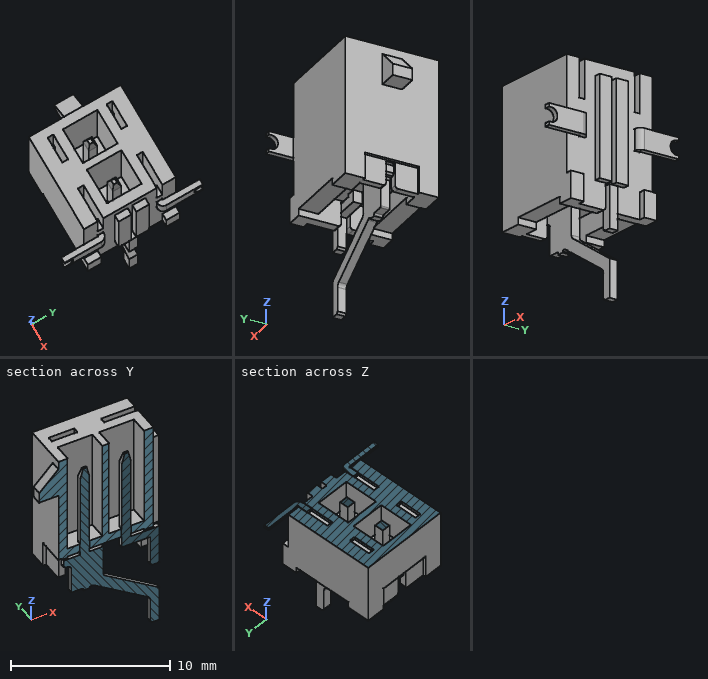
import cadquery as cq
import math


OVERALL_HEIGHT = 15.9

HOUSING_LENGTH = 6.9
HOUSING_WIDTH = 6.7
HOUSING_HEIGHT = 9.89

FOOT_REACH = 0.48
FOOT_HEIGHT = 1.86
FOOT_INNER_Y = 2.35
FOOT_END_X = HOUSING_LENGTH + FOOT_REACH

UNDERCUT_START_X = 1.73
UNDERCUT_END_X = 6.19
UNDERCUT_HEIGHT = 0.48

POCKET_WIDTH = 3.88
WALL_RECESS = 0.22
POCKET_START_X = 0.7

LATCH_REACH = 1.38
LATCH_WIDTH = 1.4
LATCH_BOTTOM_Z = 7.09
LATCH_LIP = 0.81

RIB_TOP_Z = 8.9
RIB_SPAN = 2.23
RIB_GAP = 0.35

CAVITY_SIZE = 2.51
CAVITY_FLOOR_Z = 2.55
FIRST_TERMINAL_X = 1.92
TERMINAL_PITCH = 3.0

TERMINAL_THICKNESS = 0.64
TERMINAL_WIDTH = 0.68
TERMINAL_TIP_Z = 8.59
TIP_TAPER_HEIGHT = 0.76
TIP_INSET = 0.19
BASE_TOP_Z = 1.67
SLOT_TOP_Z = 1.76
SLOT_MOUTH_RADIUS = 0.22

TAIL_END_X = 7.33
TAIL_START_X = TAIL_END_X - TERMINAL_WIDTH
TAIL_CHAMFER = 0.15

BARB_X = 0.38
BARB_BOTTOM_Z = 1.15
BARB_CHAMFER = 0.15
BASE_START_X = 0.9
BASE_END_X = 3.26
BASE_BOTTOM_Z = -1.2
BASE_CORNER_RADIUS = 0.1
BUMP_START_X = 1.83
BUMP_END_X = 2.3
BUMP_BOTTOM_Z = -1.38
HOLLOW_Z = -1.29
HOLLOW_PEAK_RISE = 0.06
ARM_ANGLE = 33.3
ARM_TOP_END_Z = -3.35
ARM_THICKNESS = 0.86
ARM_BEND_RADIUS = 0.35
FRONT_TAIL_BOTTOM_Z = HOUSING_HEIGHT - OVERALL_HEIGHT

REAR_ARM_HEIGHT = 0.67
REAR_TAIL_BOTTOM_Z = -1.34

CLIP_THICKNESS = 0.41
CLIP_INNER_Y = 1.94
CLIP_SPAN = 10.1
CLIP_OUTER_Y = CLIP_SPAN / 2
CLIP_LEG_START_X = 6.19
CLIP_BOTTOM_Z = 4.55
CLIP_HEIGHT = 1.48
CLIP_Z = (CLIP_BOTTOM_Z, CLIP_BOTTOM_Z + CLIP_HEIGHT)
CLIP_NOTCH_RADIUS = 0.5
CLIP_NOTCH_DEPTH = 0.65

SIDE_SLOT_START_X = 0.65
SIDE_SLOT_END_X = 2.5
SIDE_SLOT_LEDGE = 0.22
CLIP_SLOT_START_X = 4.44
SLOT_LEDGE_Z = 7.15

TERMINAL_XS = [FIRST_TERMINAL_X, FIRST_TERMINAL_X + TERMINAL_PITCH]
SIDES = [-1, 1]


def block(x_range, y_range, z_range):
    """Box between the given limits along each axis."""
    size = [high - low for low, high in (x_range, y_range, z_range)]
    corner = (x_range[0], y_range[0], z_range[0])
    return cq.Workplane("XY").box(*size, centered=False).translate(corner)


def centred(width):
    """Limits of a width centred on the mid-plane."""
    return (-width / 2, width / 2)


def on_side(side, inner, outer):
    """Limits of a band from inner to outer distance on one side of the mid-plane."""
    return tuple(sorted((side * inner, side * outer)))


def stem_limits(x):
    """Limits along X of a terminal stem centred at x."""
    return (x - TERMINAL_WIDTH / 2, x + TERMINAL_WIDTH / 2)


def latch():
    outline = [
        (0, LATCH_BOTTOM_Z),
        (-LATCH_REACH, LATCH_BOTTOM_Z),
        (-LATCH_REACH, LATCH_BOTTOM_Z + LATCH_LIP),
        (0, LATCH_BOTTOM_Z + LATCH_LIP + LATCH_REACH),
    ]
    return cq.Workplane("XZ").polyline(outline).close().extrude(LATCH_WIDTH / 2, both=True)


def terminal_slot():
    """Slot through both end walls, with its mouth rounded outwards at the underside."""
    half = TERMINAL_THICKNESS / 2
    radius = SLOT_MOUTH_RADIUS
    rise = radius * math.sin(math.radians(45))
    outline = cq.Workplane("YZ").moveTo(-half, SLOT_TOP_Z).lineTo(half, SLOT_TOP_Z).lineTo(half, radius)
    outline = outline.threePointArc((half + radius - rise, radius - rise), (half + radius, 0))
    outline = outline.lineTo(-half - radius, 0)
    outline = outline.threePointArc((-half - radius + rise, radius - rise), (-half, radius))
    return outline.close().extrude(HOUSING_LENGTH)


def housing_outside():
    body = block((0, HOUSING_LENGTH), centred(HOUSING_WIDTH), (0, HOUSING_HEIGHT))
    body = body.union(latch())
    rib_x = (HOUSING_LENGTH, FOOT_END_X)
    for side in SIDES:
        foot_y = on_side(side, FOOT_INNER_Y, HOUSING_WIDTH / 2)
        body = body.union(block(rib_x, foot_y, (0, FOOT_HEIGHT)))
        rib_y = on_side(side, RIB_GAP / 2, RIB_SPAN / 2)
        body = body.union(block(rib_x, rib_y, (FOOT_HEIGHT, RIB_TOP_Z)))
    return body


def cut_underside(body):
    pocket_y = centred(POCKET_WIDTH)
    body = body.cut(block((UNDERCUT_START_X, UNDERCUT_END_X), centred(HOUSING_WIDTH), (0, UNDERCUT_HEIGHT)))
    body = body.cut(block((0, WALL_RECESS), pocket_y, (0, FOOT_HEIGHT)))
    body = body.cut(block((POCKET_START_X, UNDERCUT_END_X), pocket_y, (0, FOOT_HEIGHT)))
    return body.cut(terminal_slot())


def cut_cavities(body):
    for x in TERMINAL_XS:
        cavity_x = (x - CAVITY_SIZE / 2, x + CAVITY_SIZE / 2)
        body = body.cut(block(cavity_x, centred(CAVITY_SIZE), (CAVITY_FLOOR_Z, HOUSING_HEIGHT)))
        body = body.cut(block(stem_limits(x), centred(TERMINAL_THICKNESS), (0, CAVITY_FLOOR_Z)))
    return body


def cut_side_slots(body):
    ledge_end_x = SIDE_SLOT_START_X + SIDE_SLOT_LEDGE
    deep_z = (CLIP_BOTTOM_Z, HOUSING_HEIGHT)
    ledge_z = (SLOT_LEDGE_Z, HOUSING_HEIGHT)
    for side in SIDES:
        slot_y = on_side(side, CLIP_INNER_Y, CLIP_INNER_Y + CLIP_THICKNESS)
        body = body.cut(block((ledge_end_x, SIDE_SLOT_END_X), slot_y, deep_z))
        body = body.cut(block((SIDE_SLOT_START_X, ledge_end_x), slot_y, ledge_z))
        body = body.cut(block((CLIP_SLOT_START_X, CLIP_LEG_START_X), slot_y, deep_z))
        body = body.cut(block((CLIP_LEG_START_X, HOUSING_LENGTH), slot_y, ledge_z))
        body = body.cut(block((CLIP_LEG_START_X, HOUSING_LENGTH), slot_y, CLIP_Z))
    return body


def make_housing():
    return cut_side_slots(cut_cavities(cut_underside(housing_outside())))


def stem(x):
    """Rectangular contact standing on a terminal base, with a tapered tip."""
    taper_z = TERMINAL_TIP_Z - TIP_TAPER_HEIGHT
    shaft = block(stem_limits(x), centred(TERMINAL_THICKNESS), (BASE_TOP_Z, taper_z))
    tip = (
        cq.Workplane("XY", origin=(x, 0, taper_z))
        .rect(TERMINAL_WIDTH, TERMINAL_THICKNESS)
        .workplane(offset=TIP_TAPER_HEIGHT)
        .rect(TERMINAL_WIDTH - 2 * TIP_INSET, TERMINAL_THICKNESS - 2 * TIP_INSET)
        .loft()
    )
    return shaft.union(tip)


def bend_edges(body, x, z):
    """Edges across the terminal at one corner of its profile."""
    reach = 0.02
    return body.edges(cq.selectors.BoxSelector((x - reach, -reach, z - reach), (x + reach, reach, z + reach)))


def make_front_terminal(x):
    slope = math.tan(math.radians(ARM_ANGLE))
    arm_drop = ARM_THICKNESS / math.cos(math.radians(ARM_ANGLE))
    arm_top_start_z = ARM_TOP_END_Z + slope * (TAIL_END_X - BASE_END_X)
    arm_low_end_z = ARM_TOP_END_Z - arm_drop + slope * TERMINAL_WIDTH
    hollow_end_x = TAIL_START_X - (HOLLOW_Z - arm_low_end_z) / slope
    barb_flat_z = BARB_BOTTOM_Z - BARB_CHAMFER
    hollow_peak = ((BUMP_END_X + hollow_end_x) / 2, HOLLOW_Z + HOLLOW_PEAK_RISE)

    profile = (
        cq.Workplane("XZ")
        .moveTo(BARB_X, BASE_TOP_Z)
        .lineTo(BARB_X, BARB_BOTTOM_Z)
        .lineTo(BARB_X + BARB_CHAMFER, barb_flat_z)
        .lineTo(BASE_START_X - BARB_CHAMFER, barb_flat_z)
        .lineTo(BASE_START_X, barb_flat_z - BARB_CHAMFER)
        .lineTo(BASE_START_X, BASE_BOTTOM_Z)
        .lineTo(BUMP_START_X, BASE_BOTTOM_Z)
        .lineTo(BUMP_START_X, BUMP_BOTTOM_Z)
        .lineTo(BUMP_END_X, BUMP_BOTTOM_Z)
        .lineTo(BUMP_END_X, HOLLOW_Z)
        .threePointArc(hollow_peak, (hollow_end_x, HOLLOW_Z))
        .lineTo(TAIL_START_X, arm_low_end_z)
        .lineTo(TAIL_START_X, FRONT_TAIL_BOTTOM_Z + TAIL_CHAMFER)
        .lineTo(TAIL_START_X + TAIL_CHAMFER, FRONT_TAIL_BOTTOM_Z)
        .lineTo(TAIL_END_X, FRONT_TAIL_BOTTOM_Z)
        .lineTo(TAIL_END_X, ARM_TOP_END_Z)
        .lineTo(BASE_END_X, arm_top_start_z)
        .lineTo(BASE_END_X, BASE_TOP_Z)
        .close()
    )
    body = profile.extrude(TERMINAL_THICKNESS / 2, both=True)
    body = bend_edges(body, BASE_END_X, arm_top_start_z).fillet(ARM_BEND_RADIUS)
    body = bend_edges(body, TAIL_START_X, arm_low_end_z).fillet(ARM_BEND_RADIUS)
    body = bend_edges(body, BASE_START_X, BASE_BOTTOM_Z).fillet(BASE_CORNER_RADIUS)
    body = bend_edges(body, BUMP_START_X, BASE_BOTTOM_Z).fillet(BASE_CORNER_RADIUS)
    return body.union(stem(x))


def make_rear_terminal(x):
    arm_start_x = stem_limits(x)[0]
    arm_bottom_z = BASE_TOP_Z - REAR_ARM_HEIGHT
    outline = [
        (arm_start_x, BASE_TOP_Z),
        (arm_start_x, arm_bottom_z),
        (TAIL_START_X, arm_bottom_z),
        (TAIL_START_X, REAR_TAIL_BOTTOM_Z + TAIL_CHAMFER),
        (TAIL_START_X + TAIL_CHAMFER, REAR_TAIL_BOTTOM_Z),
        (TAIL_END_X, REAR_TAIL_BOTTOM_Z),
        (TAIL_END_X, BASE_TOP_Z),
    ]
    body = cq.Workplane("XZ").polyline(outline).close().extrude(TERMINAL_THICKNESS / 2, both=True)
    return body.union(stem(x))


def make_clip(side):
    """L-shaped strip: a leg in the housing slot and an arm with a notched end."""
    arm_x = (FOOT_END_X - CLIP_THICKNESS, FOOT_END_X)
    inner_y = side * CLIP_INNER_Y
    outer_y = side * CLIP_OUTER_Y
    bend_y = side * (CLIP_INNER_Y + CLIP_THICKNESS)
    bend_reach = CLIP_THICKNESS * math.sin(math.radians(45))
    strip = (
        cq.Workplane("XY", origin=(0, 0, CLIP_BOTTOM_Z))
        .moveTo(CLIP_LEG_START_X, inner_y)
        .lineTo(arm_x[0], inner_y)
        .threePointArc((arm_x[0] + bend_reach, bend_y - side * bend_reach), (arm_x[1], bend_y))
        .lineTo(arm_x[1], outer_y)
        .lineTo(arm_x[0], outer_y)
        .lineTo(arm_x[0], bend_y)
        .lineTo(CLIP_LEG_START_X, bend_y)
        .close()
        .extrude(CLIP_HEIGHT)
    )

    notch_z = CLIP_BOTTOM_Z + CLIP_HEIGHT / 2
    notch_y = CLIP_OUTER_Y - CLIP_NOTCH_DEPTH + CLIP_NOTCH_RADIUS
    round_end = (
        cq.Workplane("YZ", origin=(arm_x[0], side * notch_y, notch_z))
        .circle(CLIP_NOTCH_RADIUS)
        .extrude(CLIP_THICKNESS)
    )
    mouth_z = (notch_z - CLIP_NOTCH_RADIUS, notch_z + CLIP_NOTCH_RADIUS)
    mouth = block(arm_x, on_side(side, notch_y, CLIP_OUTER_Y), mouth_z)
    return strip.cut(round_end).cut(mouth)


housing = make_housing()
front_terminal = make_front_terminal(TERMINAL_XS[0])
rear_terminal = make_rear_terminal(TERMINAL_XS[1])
clips = [make_clip(side).val() for side in SIDES]

result = cq.Compound.makeCompound([housing.val(), front_terminal.val(), rear_terminal.val(), *clips])